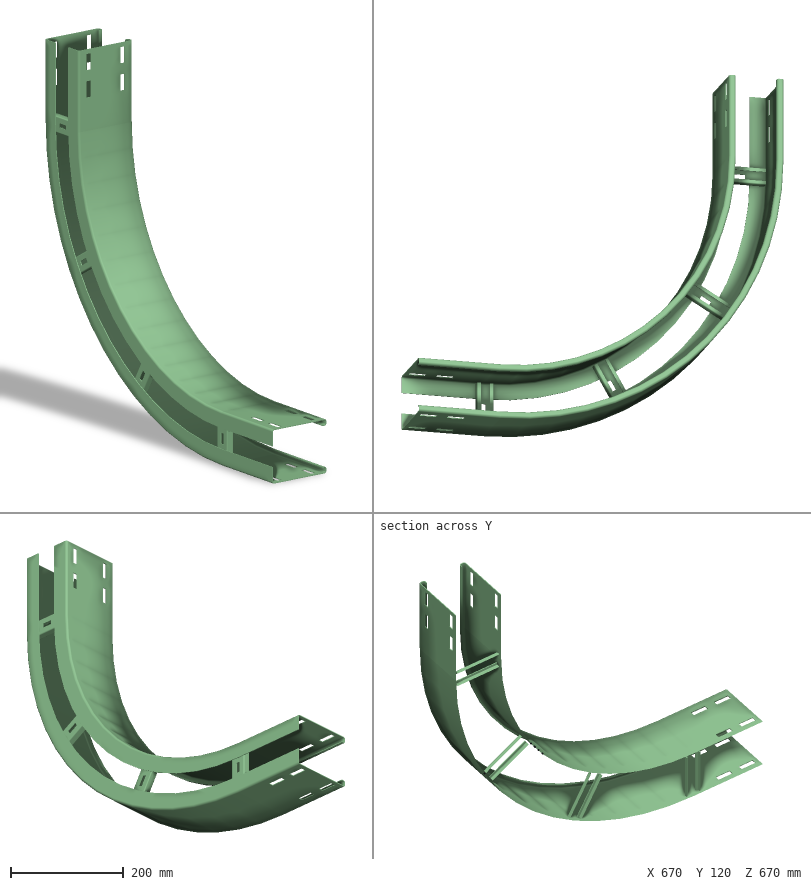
import cadquery as cq
import math

OVERALL = 670.0
DEPTH = 120.0
STRAIGHT = 150.0
BEND_ANGLE = 90.0
LADDER_WIDTH = 100.0
OUTER_RADIUS = OVERALL - STRAIGHT
INNER_RADIUS = OUTER_RADIUS - LADDER_WIDTH
SHEET = 1.5

CUTTER_DEPTH = 4 * SHEET

RAIL_BEND = 4.0
FRONT_FLANGE = 31.0
BACK_FLANGE = 12.0
RAIL_LIP = 8.0

SLOT_LENGTH = 30.0
SLOT_WIDTH = 9.5
SLOT_PITCH = 50.0
SLOT_ROW_SPACING = 75.0
END_SLOT_INSET = 23.5

RUNG_COUNT = 4
RUNG_WIDTH = 30.0
RUNG_DEPTH = 14.0
RUNG_BEND = 2.0
RUNG_LIP = 7.0
RUNG_END_CLEARANCE = 5.0
RUNG_SLOT_LENGTH = 20.0
RUNG_SLOT_WIDTH = 8.0


def turn_about_bend(body, angle):
    """Turn a body about the bend centre, from the upright end towards the level end."""
    return body.rotate((OUTER_RADIUS, 0, OUTER_RADIUS), (OUTER_RADIUS, 1, OUTER_RADIUS), -angle)


def unit(start, end):
    """Unit vector from one 2D point to another."""
    length = math.dist(start, end)
    return ((end[0] - start[0]) / length, (end[1] - start[1]) / length)


def sheet_outline(path, bend_radius):
    """Corners (x, y, radius) of bent sheet; every bend of the path turns right by 90 degrees."""
    steps = [unit(a, b) for a, b in zip(path, path[1:])]
    outside = []
    inside = []
    for i, (x, y) in enumerate(path):
        is_end = i in (0, len(path) - 1)
        meeting = steps[max(i - 1, 0):i + 1]
        shift_x = SHEET * sum(step[1] for step in meeting)
        shift_y = -SHEET * sum(step[0] for step in meeting)
        outside.append((x, y, 0 if is_end else bend_radius))
        inside.append((x + shift_x, y + shift_y, 0 if is_end else bend_radius - SHEET))
    return outside + inside[::-1]


def draw_outline(plane, corners):
    """Draw a closed right-angled outline, rounding each corner that has a radius."""
    outline = plane.moveTo(*corners[0][:2])
    for i in range(1, len(corners)):
        x, y, radius = corners[i]
        if radius == 0:
            outline = outline.lineTo(x, y)
            continue
        back_x, back_y = unit((x, y), corners[i - 1][:2])
        on_x, on_y = unit((x, y), corners[(i + 1) % len(corners)][:2])
        cut = radius * (1 - math.sqrt(0.5))
        outline = outline.lineTo(x + radius * back_x, y + radius * back_y)
        outline = outline.threePointArc(
            (x + cut * (back_x + on_x), y + cut * (back_y + on_y)),
            (x + radius * on_x, y + radius * on_y),
        )
    return outline.close()


def web_slots(web_x):
    """Cutters for the slots at the upright end of a rail whose web is at web_x."""
    last_slot_z = OVERALL - END_SLOT_INSET
    centres = [
        (web_x, DEPTH / 2 + side * SLOT_ROW_SPACING / 2, last_slot_z - row * SLOT_PITCH)
        for side in (-1, 1)
        for row in (0, 1)
    ]
    return cq.Workplane("XY").pushPoints(centres).box(CUTTER_DEPTH, SLOT_WIDTH, SLOT_LENGTH)


def make_rail(radius, inward):
    """Rail with its web at the given bend radius; inward (+1 or -1) is where its flanges point in X."""
    web_x = OUTER_RADIUS - radius
    path = [
        (FRONT_FLANGE, 0),
        (0, 0),
        (0, DEPTH),
        (BACK_FLANGE, DEPTH),
        (BACK_FLANGE, DEPTH - RAIL_LIP),
    ]
    corners = [(web_x + inward * u, y, r) for u, y, r in sheet_outline(path, RAIL_BEND)]
    section = draw_outline(cq.Workplane("XY", origin=(0, 0, OVERALL)), corners)

    arc_middle = OUTER_RADIUS - radius * math.sqrt(0.5)
    run = (
        cq.Workplane("XZ")
        .moveTo(web_x, OVERALL)
        .lineTo(web_x, OUTER_RADIUS)
        .threePointArc((arc_middle, arc_middle), (OUTER_RADIUS, web_x))
        .lineTo(OVERALL, web_x)
    )
    slots = web_slots(web_x)
    level_slots = slots.rotate((0, 0, 0), (0, 1, 0), BEND_ANGLE).mirror("XY")
    rail = section.sweep(run, clean=False)
    return rail.cut(slots, clean=False).cut(level_slots, clean=False)


def make_rung(angle):
    """Rung turned round the bend by the given angle from the upright end."""
    half_width = RUNG_WIDTH / 2
    rung_length = LADDER_WIDTH - 2 * RUNG_END_CLEARANCE
    path = [
        (half_width - RUNG_LIP, RUNG_DEPTH),
        (half_width, RUNG_DEPTH),
        (half_width, 0),
        (-half_width, 0),
        (-half_width, RUNG_DEPTH),
        (-half_width + RUNG_LIP, RUNG_DEPTH),
    ]
    corners = sheet_outline(path, RUNG_BEND)
    plane = cq.Plane(origin=(RUNG_END_CLEARANCE, SHEET, OUTER_RADIUS), xDir=(0, 0, -1), normal=(1, 0, 0))
    channel = draw_outline(cq.Workplane(plane), corners).extrude(rung_length)
    slot = cq.Workplane("XY", origin=(LADDER_WIDTH / 2, SHEET, OUTER_RADIUS)).box(
        RUNG_SLOT_LENGTH, CUTTER_DEPTH, RUNG_SLOT_WIDTH
    )
    return turn_about_bend(channel.cut(slot), angle)


outer_rail = make_rail(OUTER_RADIUS, 1)
inner_rail = make_rail(INNER_RADIUS, -1)
rungs = [make_rung(i * BEND_ANGLE / (RUNG_COUNT - 1)) for i in range(RUNG_COUNT)]

result = cq.Compound.makeCompound(
    [outer_rail.val(), inner_rail.val()] + [rung.val() for rung in rungs]
)